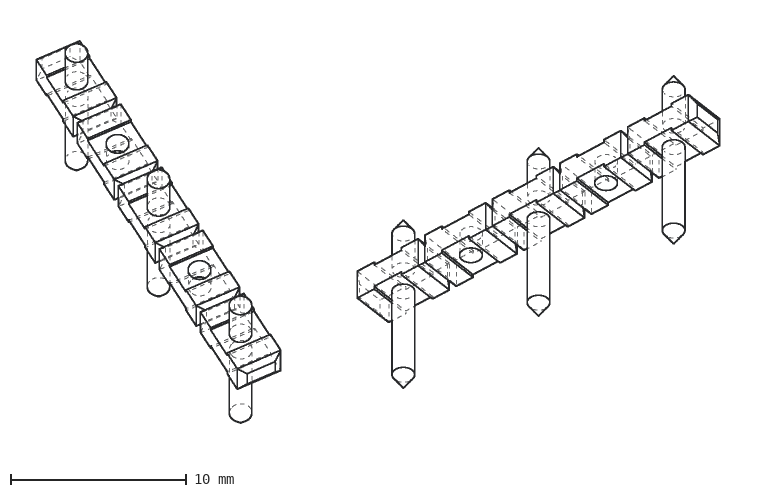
import cadquery as cq

block_count = 5
strip_length = 25.0
block_pitch = strip_length / block_count
block_width = 2.8
block_height = 2.0

taper_length = 0.25
taper_inset = 0.5

groove_length = 2.0
groove_depth = 0.2

pin_diameter = 1.3
pin_radius = pin_diameter / 2
pin_above_block = 3.5
pin_below_block = 7.0
tip_length = 1.0


def make_tapered_end():
    """Frustum at the +X end of a block centred on the origin."""
    return (
        cq.Workplane("YZ", origin=(block_pitch / 2 - taper_length, 0, 0))
        .rect(block_width, block_height)
        .workplane(offset=taper_length)
        .rect(block_width - 2 * taper_inset, block_height - 2 * taper_inset)
        .loft(ruled=True)
    )


def make_block():
    """One block with tapered ends and a groove above and below."""
    block = cq.Workplane("XY").box(block_pitch - 2 * taper_length, block_width, block_height)
    end = make_tapered_end()
    block = block.union(end).union(end.mirror("YZ"))
    for side in (-1, 1):
        groove = cq.Workplane("XY").box(groove_length, block_width, 2 * groove_depth)
        block = block.cut(groove.translate((0, 0, side * block_height / 2)))
    return block


def make_pin():
    """Round pin with a conical point at both ends."""
    top = block_height / 2 + pin_above_block
    bottom = -block_height / 2 - pin_below_block
    return (
        cq.Workplane("XZ")
        .moveTo(0, bottom)
        .lineTo(pin_radius, bottom + tip_length)
        .lineTo(pin_radius, top - tip_length)
        .lineTo(0, top)
        .close()
        .revolve(360, (0, 0, 0), (0, 1, 0))
    )


plain_block = make_block()
pin_block = plain_block.union(make_pin())
hole_block = plain_block.cut(cq.Workplane("XY").circle(pin_radius).extrude(block_height, both=True))

first_block_x = (block_pitch - strip_length) / 2
strip = cq.Workplane("XY")
for index in range(block_count):
    block = pin_block if index % 2 == 0 else hole_block
    strip = strip.add(block.translate((first_block_x + index * block_pitch, 0, 0)))
result = strip.combine()